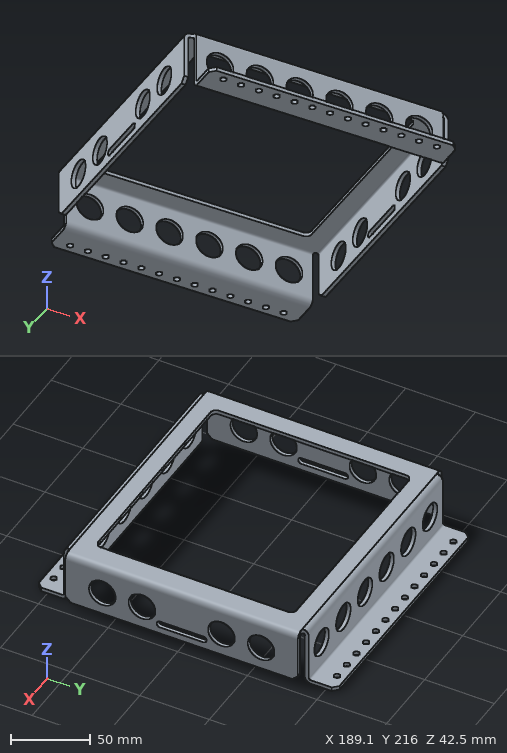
import cadquery as cq

length_x = 189.1
length_y = 216.0
height = 42.5

sheet = 3.0
inner_bend = 1.5
outer_bend = sheet + inner_bend

wall_span_y = 175.7
wall_length_x = 176.5
flange_length_y = 166.9
flange_height = 38.0
corner_cut = 3.7
root_fillet = (length_x - 2 * outer_bend - wall_length_x) / 2

window_x = 155.5
window_y = 142.3
window_corner = 3.9

large_hole = 19.0
large_pitch = 28.5
large_hole_z = height / 2
wall_hole_steps = [-2.5, -1.5, -0.5, 0.5, 1.5, 2.5]
flange_hole_steps = [-2, -1, 1, 2]

slot_length = 35.6
slot_width = 4.5
slot_z = height - 30.7

mount_hole = 4.0
mount_pitch = 12.7
mount_count = 13
mount_edge = 6.3


def rounded_bar(plane, span, top, radius, depth):
    """Bar centred on the origin, rounded along its long edges."""
    long_axis = "|Y" if plane == "XZ" else "|X"
    bar = cq.Workplane(plane).rect(span, 2 * top).extrude(depth / 2, both=True)
    return bar.edges(long_axis).fillet(radius)


def bent_channel(plane, span, bottom, depth):
    """Downward channel of constant sheet thickness with rounded top bends."""
    outer = rounded_bar(plane, span, height, outer_bend, depth)
    inner = rounded_bar(plane, span - 2 * sheet, height - sheet, inner_bend, depth)
    kept = (
        cq.Workplane("XY", origin=(0, 0, bottom))
        .rect(length_x, length_y)
        .extrude(height)
    )
    return outer.cut(inner).intersect(kept)


def flanged_panel():
    """Top panel with the two plain flanges, lower flange corners trimmed."""
    channel = bent_channel("XZ", length_x, height - flange_height, flange_length_y)
    return channel.faces("<Z").edges("|X").chamfer(corner_cut)


def wall_roots():
    """Top bends of the walls, widening to the panel corners in concave fillets."""
    bend_bottom = height - outer_bend
    base = cq.Workplane("XY", origin=(0, 0, bend_bottom))
    wall_strip = base.rect(wall_length_x, length_y).extrude(outer_bend)
    flange_strip = base.rect(length_x, flange_length_y).extrude(outer_bend)
    plan = wall_strip.union(flange_strip)
    inside_corners = cq.selectors.BoxSelector(
        (-length_x / 2 + outer_bend, -wall_span_y / 2, 0),
        (length_x / 2 - outer_bend, wall_span_y / 2, height),
    )
    filleted = plan.edges("|Z").edges(inside_corners).fillet(root_fillet)
    channel = bent_channel("YZ", wall_span_y, bend_bottom, wall_length_x + 2 * root_fillet)
    return channel.intersect(filleted)


def foot():
    """Outward foot on the +Y side with its bend, joining the bottom of the wall."""
    wall_outside = wall_span_y / 2
    wall_inside = wall_outside - sheet
    strip = (
        cq.Workplane("YZ")
        .moveTo(wall_inside, outer_bend)
        .radiusArc((wall_inside + outer_bend, 0), -outer_bend)
        .lineTo(length_y / 2, 0)
        .lineTo(length_y / 2, sheet)
        .lineTo(wall_outside + inner_bend, sheet)
        .radiusArc((wall_outside, outer_bend), inner_bend)
        .close()
        .extrude(wall_length_x / 2, both=True)
    )
    return strip.faces(">Y").edges("|Z").chamfer(corner_cut)


def large_hole_row(plane, steps, reach):
    """Row of large holes along a side, cutting through both opposite sides."""
    centers = [(step * large_pitch, large_hole_z) for step in steps]
    return cq.Workplane(plane).pushPoints(centers).circle(large_hole / 2).extrude(reach, both=True)


walls = bent_channel("YZ", wall_span_y, outer_bend, wall_length_x)
frame = flanged_panel().union(walls).union(wall_roots())
frame = frame.union(foot()).union(foot().mirror("XZ"))

window = (
    cq.Workplane("XY")
    .rect(window_x, window_y)
    .extrude(2 * height)
    .edges("|Z")
    .fillet(window_corner)
)
wall_holes = large_hole_row("XZ", wall_hole_steps, length_y)
flange_holes = large_hole_row("YZ", flange_hole_steps, length_x)
flange_slot = (
    cq.Workplane("YZ")
    .center(0, slot_z)
    .slot2D(slot_length, slot_width)
    .extrude(length_x, both=True)
)
mount_holes = (
    cq.Workplane("XY")
    .rarray(mount_pitch, length_y - 2 * mount_edge, mount_count, 2)
    .circle(mount_hole / 2)
    .extrude(height / 2)
)

result = frame.cut(window).cut(wall_holes).cut(flange_holes).cut(flange_slot).cut(mount_holes)